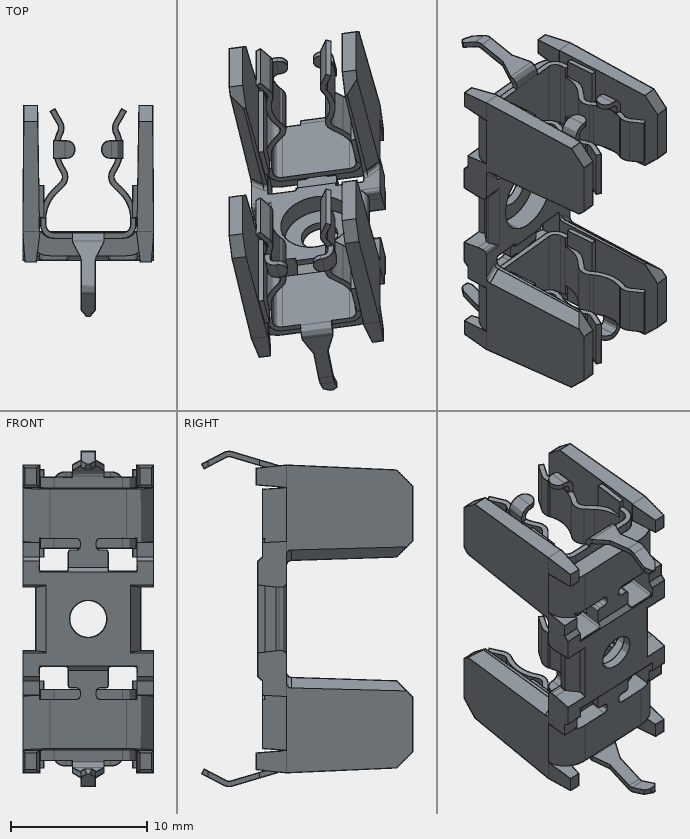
import cadquery as cq
import math


HALF_WIDTH = 4.8
ARM_TIP_Y = 11.49
PIN_TIP_Y = -4.0
HALF_LENGTH = 24.59 / 2
CLEARANCE = 1.0

FACE_Y = 0.1
BARREL_Y = 0.46
FLOOR_Y = 1.74
BASE_Y = 2.23

ARM_INNER_X = 3.57
ARM_TIP_OUTER_X = 4.73
ARM_TIP_INNER_X = 3.71
ARM_SHOULDER_Y = 10.29
ARM_TOP_Z = 11.29
ARM_SHOULDER_TOP_Z = 10.93
ARM_SHOULDER_BOTTOM_Z = 4.53
ARM_BOTTOM_Z = 4.28
ARM_TIP_CHAMFER = ARM_TIP_Y - ARM_SHOULDER_Y
ARM_ROOT_RADIUS = 0.35
ARM_BEVEL_HEIGHT = 0.78
ARM_BEVEL_INNER_X = 3.87

FOOT_ROOT_INNER_X = 3.53
FOOT_BOTTOM_Z = 9.64
FOOT_END_X = (3.81, 4.63)
FOOT_END_Z = (9.82, 11.05)

PAD_INNER_X = 3.25
PAD_Y = (3.28, 5.62)
PAD_Z = (4.54, 10.94)

BARREL_RADIUS = 2.0
BARREL_TOP_Z = 9.51
BARREL_TOP_RISE = 0.12
LEG_TOP_Z = 5.59
LEG_TOP_RISE = 0.1
LEG_STEP_Z = (4.23, 4.54)
LEG_BOTTOM_Z = 2.5
LEG_DRAFT_Y = 1.44
LEG_DRAFT_Z = 2.33
LEG_BACK_RADIUS = 0.34

WINDOW_OUTER_X = 3.58
WINDOW_Z = (3.5, 5.06)
WINDOW_RADIUS = 0.15
TAB_HALF_WIDTH = 1.47
TAB_RADIUS = 0.2
TAB_STEP_Z = (3.44, 3.77)
SLOT_TOP_Z = 5.9
NECK_HALF_WIDTH = 0.58
SLOT_RADIUS = 0.3

WAIST_FACE_X = 3.09
WAIST_SIDE_X = 3.86
WAIST_SLOPE_Y = (0.65, LEG_DRAFT_Y)
WAIST_BACK_RADIUS = 0.56
HOLE_DIAMETER = 2.7
RECESS_DIAMETER = 5.2
RECESS_FLOOR_Y = 0.75

SHEET = 0.4
SHEET_LAP = 1.0
CLIP_Z = (5.17, 10.39)
SPRING_Z = (5.97, 9.55)
SPRING_START_Y = 3.22
CLIP_HALF_WIDTH = 3.3
CLIP_BASE_Y = FLOOR_Y + SHEET / 2
CLIP_CORNER_RADIUS = 0.8
FUSE_RADIUS = 5.2 / 2
SEAT_RADIUS = FUSE_RADIUS + SHEET / 2
BULGE_RADIUS = 0.75
SPRING_PATH = [
    ((0, CLIP_BASE_Y), 0),
    ((CLIP_HALF_WIDTH, CLIP_BASE_Y), CLIP_CORNER_RADIUS),
    ((CLIP_HALF_WIDTH, 4.33), SEAT_RADIUS),
    ((1.506, 6.124), BULGE_RADIUS),
    ((2.735, 8.216), SEAT_RADIUS),
    ((1.877, 9.835), BULGE_RADIUS),
    ((2.62, 11.14), 0),
]

STOP_WIDTH = 1.3
STOP_Y = 8.25
STOP_OUTER_X = 2.56
STOP_TOP_Z = 10.78
STOP_BEND_RADIUS = 0.65
STOP_END_X = 0.97

PIN_ROOT_HALF_WIDTH = 1.16
PIN_HALF_WIDTH = 0.52
PIN_TIP_HALF_WIDTH = 0.12
PIN_TAPER_Y = (0.24, 1.5)
PIN_POINT_LENGTH = 0.48
PIN_ROOT_BEND_Z = 10.95
PIN_PEAK = (-2.05, 12.146)
PIN_END_ANGLE = 27.6
PIN_BEND_RADIUS = 0.65


def box(x_range, y_range, z_range):
    size = [high - low for low, high in (x_range, y_range, z_range)]
    corner = (x_range[0], y_range[0], z_range[0])
    return cq.Workplane("XY").box(*size, centered=False).translate(corner)


def prism_along_x(points, x_range):
    """Prism over (y, z) points."""
    plane = cq.Workplane("YZ", origin=(x_range[0], 0, 0))
    return plane.polyline(points).close().extrude(x_range[1] - x_range[0])


def prism_along_z(points, z_range):
    """Prism over (x, y) points."""
    plane = cq.Workplane("XY", origin=(0, 0, z_range[0]))
    return plane.polyline(points).close().extrude(z_range[1] - z_range[0])


def both_sides(shape):
    return shape.union(shape.mirror("YZ"))


def unit(start, end):
    length = math.dist(start, end)
    return ((end[0] - start[0]) / length, (end[1] - start[1]) / length)


def bent_sheet(plane, path, width):
    """Sheet of constant thickness whose middle follows a path of straight runs and round bends."""
    points = [point for point, _ in path]
    runs = [unit(a, b) for a, b in zip(points, points[1:])]

    def end_point(index, run, side):
        x, y = points[index]
        return (x - side * run[1], y + side * run[0])

    def bend(index, side):
        """Start, middle and end of the bend on one side of the sheet."""
        before, after = runs[index - 1], runs[index]
        (x, y), radius = path[index]
        sine = before[0] * after[1] - before[1] * after[0]
        cosine = before[0] * after[0] + before[1] * after[1]
        turn = math.atan2(sine, cosine)
        hand = math.copysign(1, turn)
        back = radius * math.tan(abs(turn) / 2)
        center_x = x - back * before[0] - hand * radius * before[1]
        center_y = y - back * before[1] + hand * radius * before[0]
        side_radius = radius - hand * side
        start_angle = math.atan2(-hand * before[0], hand * before[1])
        angles = [start_angle, start_angle + turn / 2, start_angle + turn]
        return [(center_x + side_radius * math.cos(a), center_y + side_radius * math.sin(a)) for a in angles]

    last = len(points) - 1
    left, right = SHEET / 2, -SHEET / 2
    outline = cq.Workplane(plane).moveTo(*end_point(0, runs[0], left))
    for index in range(1, last):
        start, middle, end = bend(index, left)
        outline = outline.lineTo(*start).threePointArc(middle, end)
    outline = outline.lineTo(*end_point(last, runs[-1], left)).lineTo(*end_point(last, runs[-1], right))
    for index in range(last - 1, 0, -1):
        end, middle, start = bend(index, right)
        outline = outline.lineTo(*start).threePointArc(middle, end)
    return outline.lineTo(*end_point(0, runs[0], right)).close().extrude(width)


def make_arm():
    side = [
        (BASE_Y, ARM_TOP_Z),
        (ARM_SHOULDER_Y, ARM_SHOULDER_TOP_Z),
        (ARM_TIP_Y, ARM_SHOULDER_TOP_Z - ARM_TIP_CHAMFER),
        (ARM_TIP_Y, ARM_SHOULDER_BOTTOM_Z + ARM_TIP_CHAMFER),
        (ARM_SHOULDER_Y, ARM_SHOULDER_BOTTOM_Z),
        (BASE_Y + ARM_ROOT_RADIUS, ARM_BOTTOM_Z),
        (BASE_Y, ARM_BOTTOM_Z),
    ]
    plan = [
        (ARM_INNER_X, BASE_Y),
        (HALF_WIDTH, BASE_Y),
        (ARM_TIP_OUTER_X, ARM_TIP_Y),
        (ARM_TIP_INNER_X, ARM_TIP_Y),
    ]
    arm = prism_along_x(side, (0, HALF_WIDTH)).cut(arm_bevel()).union(arm_root())
    pad = box((PAD_INNER_X, ARM_TIP_INNER_X), PAD_Y, PAD_Z)
    return arm.intersect(prism_along_z(plan, (0, HALF_LENGTH))).union(pad)


def arm_bevel():
    """Prism that bevels the outer lower edge of an arm, following the slope of its lower side."""
    run = ARM_SHOULDER_Y - BASE_Y - ARM_ROOT_RADIUS
    rise = ARM_SHOULDER_BOTTOM_Z - ARM_BOTTOM_Z
    corner = (ARM_BEVEL_INNER_X, BASE_Y + ARM_ROOT_RADIUS, ARM_BOTTOM_Z)
    plane = cq.Plane(origin=corner, xDir=(1, 0, 0), normal=(0, -run, -rise))
    width = HALF_WIDTH - ARM_BEVEL_INNER_X
    corners = [(-width, -ARM_BEVEL_HEIGHT), (2 * width, -ARM_BEVEL_HEIGHT), (2 * width, 2 * ARM_BEVEL_HEIGHT)]
    return cq.Workplane(plane).workplane(offset=-ARM_TIP_Y).polyline(corners).close().extrude(2 * ARM_TIP_Y)


def arm_root():
    """Concave rounding between an arm and its leg, rising outward along the bevel."""

    def profile(plane, z):
        top_z = z + ARM_ROOT_RADIUS
        plane = plane.moveTo(BASE_Y, z - ARM_ROOT_RADIUS).lineTo(BASE_Y, top_z)
        plane = plane.lineTo(BASE_Y + ARM_ROOT_RADIUS, top_z).lineTo(BASE_Y + ARM_ROOT_RADIUS, z)
        return plane.radiusArc((BASE_Y, z - ARM_ROOT_RADIUS), -ARM_ROOT_RADIUS).close()

    bevel_width = HALF_WIDTH - ARM_BEVEL_INNER_X
    straight = profile(cq.Workplane("YZ", origin=(ARM_INNER_X, 0, 0)), ARM_BOTTOM_Z)
    straight = straight.extrude(ARM_BEVEL_INNER_X - ARM_INNER_X)
    rising = profile(cq.Workplane("YZ", origin=(ARM_BEVEL_INNER_X, 0, 0)), ARM_BOTTOM_Z)
    rising = profile(rising.workplane(offset=bevel_width), ARM_BOTTOM_Z + ARM_BEVEL_HEIGHT).loft(ruled=True)
    return straight.union(rising)


def make_foot():
    root_x = (FOOT_ROOT_INNER_X, HALF_WIDTH)
    root_z = (FOOT_BOTTOM_Z, ARM_TOP_Z)

    def corners(x_range, z_range):
        (x0, x1), (z0, z1) = x_range, z_range
        return [(x0, z0), (x1, z0), (x1, z1), (x0, z1)]

    root = cq.Workplane("XZ", origin=(0, BASE_Y, 0)).polyline(corners(root_x, root_z)).close()
    return root.workplane(offset=BASE_Y).polyline(corners(FOOT_END_X, FOOT_END_Z)).close().loft(ruled=True)


def make_barrel():
    """Round-cornered end section with the channel for the clip."""
    side = [
        (BARREL_Y, WINDOW_Z[0]),
        (BARREL_Y, BARREL_TOP_Z),
        (BASE_Y, BARREL_TOP_Z + BARREL_TOP_RISE),
        (BASE_Y, WINDOW_Z[0]),
    ]
    height = ARM_TOP_Z
    outer = (
        cq.Workplane("XY")
        .rect(2 * HALF_WIDTH, 2 * ARM_TIP_Y)
        .extrude(height)
        .edges("|Z")
        .fillet(BARREL_RADIUS)
        .translate((0, BARREL_Y + ARM_TIP_Y, 0))
    )
    channel = (
        cq.Workplane("XY")
        .rect(2 * ARM_INNER_X, 2 * ARM_TIP_Y)
        .extrude(height)
        .edges("|Z")
        .fillet(CLIP_CORNER_RADIUS + SHEET / 2)
        .translate((0, FLOOR_Y + ARM_TIP_Y, WINDOW_Z[0]))
    )
    return prism_along_x(side, (-HALF_WIDTH, HALF_WIDTH)).intersect(outer).cut(channel)


def make_leg():
    side = (
        cq.Workplane("YZ", origin=(WINDOW_OUTER_X, 0, 0))
        .moveTo(BASE_Y, LEG_TOP_Z + LEG_TOP_RISE)
        .lineTo(BARREL_Y, LEG_TOP_Z)
        .lineTo(BARREL_Y, LEG_STEP_Z[1])
        .lineTo(FACE_Y, LEG_STEP_Z[0])
        .lineTo(FACE_Y, 0)
        .lineTo(BASE_Y, 0)
        .close()
    )
    return side.extrude(HALF_WIDTH - WINDOW_OUTER_X)


def make_block():
    """Upper half of the central block, stepped where it meets the tab."""
    side = [
        (FACE_Y, 0),
        (FACE_Y, TAB_STEP_Z[0]),
        (BARREL_Y, TAB_STEP_Z[1]),
        (BASE_Y, TAB_STEP_Z[1]),
        (BASE_Y, 0),
    ]
    return prism_along_x(side, (-WINDOW_OUTER_X, WINDOW_OUTER_X))


def cut_windows(housing):
    """Side windows with the narrower slots that run in behind the tab."""
    depth = ARM_TIP_Y
    corners = [
        (TAB_HALF_WIDTH, WINDOW_Z[0]),
        (WINDOW_OUTER_X, WINDOW_Z[0]),
        (WINDOW_OUTER_X, SLOT_TOP_Z),
        (NECK_HALF_WIDTH, SLOT_TOP_Z),
        (NECK_HALF_WIDTH, WINDOW_Z[1]),
        (TAB_HALF_WIDTH, WINDOW_Z[1]),
    ]
    window = cq.Workplane("XZ").polyline(corners).close().extrude(-depth)
    window = window.edges("|Y").edges("<X").fillet(SLOT_RADIUS)
    tab_corner = cq.selectors.NearestToPointSelector((TAB_HALF_WIDTH, depth / 2, WINDOW_Z[1]))
    window = window.edges("|Y").edges(tab_corner).fillet(TAB_RADIUS)
    window = window.edges("|Y").edges("<Z").fillet(WINDOW_RADIUS)
    return housing.cut(both_sides(window))


def waist_cut():
    """Recess beside the central block, between an upper and a lower leg."""
    beyond = HALF_WIDTH + CLEARANCE
    section = (
        cq.Workplane("XY")
        .moveTo(WAIST_FACE_X, FACE_Y)
        .lineTo(WAIST_FACE_X, WAIST_SLOPE_Y[0])
        .lineTo(WAIST_SIDE_X, WAIST_SLOPE_Y[1])
        .lineTo(WAIST_SIDE_X, BASE_Y - WAIST_BACK_RADIUS)
        .radiusArc((WAIST_SIDE_X - WAIST_BACK_RADIUS, BASE_Y), -WAIST_BACK_RADIUS)
        .lineTo(beyond, BASE_Y)
        .lineTo(beyond, FACE_Y)
        .close()
        .extrude(LEG_BOTTOM_Z + CLEARANCE)
    )
    side = (
        cq.Workplane("YZ")
        .moveTo(FACE_Y, 0)
        .lineTo(FACE_Y, LEG_BOTTOM_Z)
        .lineTo(LEG_DRAFT_Y, LEG_DRAFT_Z)
        .lineTo(BASE_Y - LEG_BACK_RADIUS, LEG_DRAFT_Z)
        .radiusArc((BASE_Y, LEG_DRAFT_Z + LEG_BACK_RADIUS), -LEG_BACK_RADIUS)
        .lineTo(BASE_Y, 0)
        .close()
        .extrude(beyond)
    )
    return section.intersect(side)


def make_stop():
    """Round-ended finger bent inward from the upper edge of a spring."""
    middle_x = STOP_OUTER_X - SHEET / 2
    middle_z = STOP_TOP_Z - SHEET / 2
    path = [
        ((middle_x, CLIP_Z[1] - SHEET_LAP), 0),
        ((middle_x, middle_z), STOP_BEND_RADIUS),
        ((STOP_END_X, middle_z), 0),
    ]
    finger = bent_sheet("XZ", path, STOP_WIDTH).translate((0, STOP_Y + STOP_WIDTH / 2, 0))
    end_radius = STOP_WIDTH / 2
    outline = (
        cq.Workplane("XY")
        .circle(end_radius)
        .extrude(HALF_LENGTH)
        .translate((STOP_END_X + end_radius, STOP_Y, 0))
    )
    straight = box(
        (STOP_END_X + end_radius, HALF_WIDTH), (STOP_Y - end_radius, STOP_Y + end_radius), (0, HALF_LENGTH)
    )
    return finger.intersect(outline.union(straight))


def make_pin():
    angle = math.radians(PIN_END_ANGLE)
    tip_y = PIN_TIP_Y + SHEET / 2 * math.sin(angle)
    tip_z = PIN_PEAK[1] - (PIN_PEAK[0] - tip_y) * math.tan(angle)
    path = [
        ((CLIP_BASE_Y, CLIP_Z[1] - SHEET_LAP), 0),
        ((CLIP_BASE_Y, PIN_ROOT_BEND_Z), PIN_BEND_RADIUS),
        (PIN_PEAK, PIN_BEND_RADIUS),
        ((tip_y, tip_z), 0),
    ]
    sheet = bent_sheet("YZ", path, 2 * PIN_ROOT_HALF_WIDTH).translate((-PIN_ROOT_HALF_WIDTH, 0, 0))
    half = [
        (PIN_ROOT_HALF_WIDTH, BASE_Y),
        (PIN_ROOT_HALF_WIDTH, PIN_TAPER_Y[1]),
        (PIN_HALF_WIDTH, PIN_TAPER_Y[0]),
        (PIN_HALF_WIDTH, PIN_TIP_Y + PIN_POINT_LENGTH),
        (PIN_TIP_HALF_WIDTH, PIN_TIP_Y),
    ]
    plan = half + [(-x, y) for x, y in reversed(half)]
    return sheet.intersect(prism_along_z(plan, (0, HALF_LENGTH + CLEARANCE)))


def make_clip():
    spring = bent_sheet("XY", SPRING_PATH, CLIP_Z[1] - CLIP_Z[0]).translate((0, 0, CLIP_Z[0]))
    for z_range in ((CLIP_Z[0], SPRING_Z[0]), (SPRING_Z[1], CLIP_Z[1])):
        spring = spring.cut(box((0, HALF_WIDTH), (SPRING_START_Y, ARM_TIP_Y), z_range))
    return both_sides(spring.union(make_stop())).union(make_pin())


def make_half():
    housing = cut_windows(make_barrel().union(make_block()))
    sides = make_leg().union(make_arm()).union(make_foot())
    housing = housing.union(both_sides(sides)).cut(both_sides(waist_cut()))
    return housing.union(make_clip())


half = make_half()
hole = cq.Workplane("XZ").circle(HOLE_DIAMETER / 2).extrude(-ARM_TIP_Y)
recess = (
    cq.Workplane("XZ", origin=(0, RECESS_FLOOR_Y, 0))
    .circle(RECESS_DIAMETER / 2)
    .extrude(RECESS_FLOOR_Y - BASE_Y)
)
result = half.union(half.mirror("XY")).cut(hole).cut(recess)